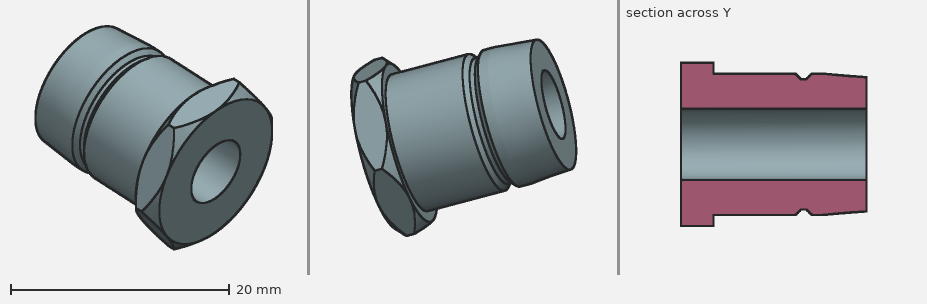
import cadquery as cq
import math

corner_width = 17.32
length = 17.0
head_thickness = 3.0
body_radius = 6.5
nose_radius = 6.17
bore_radius = 3.25
nose_length = 4.0
groove_start = 5.0
groove_depth = 0.5
groove_floor_width = 0.5
head_chamfer_length = 1.15

corner_radius = corner_width / 2
flat_radius = corner_radius * math.cos(math.pi / 6)
head_start = length - head_thickness
groove_radius = body_radius - groove_depth
groove_floor_start = groove_start + groove_depth
groove_floor_end = groove_floor_start + groove_floor_width
groove_end = groove_floor_end + groove_depth


def make_body():
    """Round body with a tapered nose and a groove with sloped sides."""
    return (
        cq.Workplane("XY")
        .lineTo(0, nose_radius)
        .lineTo(nose_length, body_radius)
        .lineTo(groove_start, body_radius)
        .lineTo(groove_floor_start, groove_radius)
        .lineTo(groove_floor_end, groove_radius)
        .lineTo(groove_end, body_radius)
        .lineTo(length, body_radius)
        .lineTo(length, 0)
        .close()
        .revolve(360, (0, 0, 0), (1, 0, 0))
    )


def make_head():
    """Hexagon with corners along Y, chamfered by cones on both faces."""
    hexagon = (
        cq.Workplane("YZ", origin=(head_start, 0, 0))
        .polygon(6, corner_width)
        .extrude(head_thickness)
    )
    chamfer_envelope = (
        cq.Workplane("XY")
        .moveTo(head_start, 0)
        .lineTo(head_start, flat_radius)
        .lineTo(head_start + head_chamfer_length, corner_radius)
        .lineTo(length - head_chamfer_length, corner_radius)
        .lineTo(length, flat_radius)
        .lineTo(length, 0)
        .close()
        .revolve(360, (0, 0, 0), (1, 0, 0))
    )
    return hexagon.intersect(chamfer_envelope)


bore = cq.Workplane("YZ").circle(bore_radius).extrude(length)

result = make_body().union(make_head()).cut(bore)